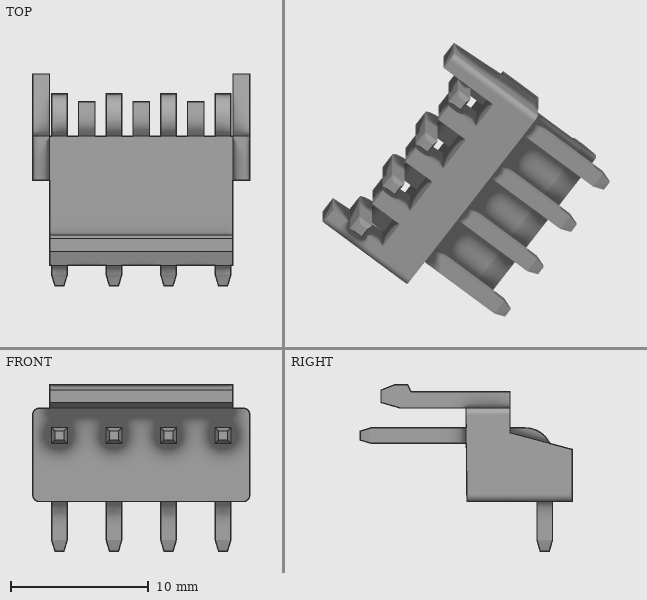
import cadquery as cq
import math


body_width = 15.78
body_height = 6.8
body_depth = 7.73
block_depth = 3.22
edge_radius = 0.5
front_draft = 0.6
slope_front_height = 5.0
slope_rear_height = 3.8
rib_width = 1.22
rib_rear = 5.71

latch_width = 13.3
latch_thickness = 1.2
latch_reach = 6.17
latch_underside_reach = 4.78
nose_bottom_rise = 0.4
nose_top_rise = 1.3
hook_rise = 1.7
hook_front_reach = 5.18
hook_rear_reach = 4.22
hook_foot_reach = 3.98

pin_count = 4
pin_pitch = 3.96
pin_size = 1.14
pin_tip_size = 0.66
pin_taper = 0.8
pin_axis_height = 4.8
pin_axis_rear = 5.73
pin_front_reach = 7.67
pin_drop = 3.6
bend_radius = 2.0

inner_half = latch_width / 2
pin_half = pin_size / 2
pin_first_x = -pin_pitch * (pin_count - 1) / 2
latch_top = body_height + latch_thickness
draft_setback = body_height * math.tan(math.radians(front_draft))


def extrude_across(profile, width):
    """Extrude a closed YZ profile symmetrically along X."""
    return profile.extrude(width / 2, both=True)


def make_block_with_walls():
    """Block and side walls, before the space behind the block is opened."""
    side = (
        cq.Workplane("YZ")
        .moveTo(draft_setback, 0)
        .lineTo(body_depth, 0)
        .lineTo(body_depth, slope_rear_height)
        .lineTo(block_depth, slope_front_height)
        .lineTo(block_depth, body_height)
        .lineTo(0, body_height)
        .close()
    )
    housing = extrude_across(side, body_width)
    rounded_outline = (
        cq.Workplane("XY")
        .box(body_width, body_depth, body_height, centered=(True, False, False))
        .edges("|Y")
        .fillet(edge_radius)
    )
    return housing.intersect(rounded_outline)


def make_rear_opening(left, right, rear_start):
    """Full-height space behind the block, from left to right in X."""
    return (
        cq.Workplane("XY")
        .box(right - left, body_depth - rear_start, body_height, centered=False)
        .translate((left, rear_start, 0))
    )


def make_housing():
    """Block with side walls and one rib midway between neighbouring pins."""
    housing = make_block_with_walls()
    behind_ribs = make_rear_opening(-inner_half, inner_half, rib_rear)
    housing = housing.cut(behind_ribs)
    rib_centres = [pin_first_x + (i + 0.5) * pin_pitch for i in range(pin_count - 1)]
    lefts = [-inner_half] + [x + rib_width / 2 for x in rib_centres]
    rights = [x - rib_width / 2 for x in rib_centres] + [inner_half]
    for left, right in zip(lefts, rights):
        housing = housing.cut(make_rear_opening(left, right, block_depth))
    return housing


def make_latch():
    """Plate on top of the block, with a raised hook and a tapered nose."""
    side = (
        cq.Workplane("YZ")
        .moveTo(block_depth, body_height)
        .lineTo(block_depth, latch_top)
        .lineTo(-hook_foot_reach, latch_top)
        .lineTo(-hook_rear_reach, body_height + hook_rise)
        .lineTo(-hook_front_reach, body_height + hook_rise)
        .lineTo(-latch_reach, body_height + nose_top_rise)
        .lineTo(-latch_reach, body_height + nose_bottom_rise)
        .lineTo(-latch_underside_reach, body_height)
        .close()
    )
    return extrude_across(side, latch_width)


def make_tip(plane):
    """Tapered pin tip that grows along the normal of the given plane."""
    return (
        cq.Workplane(plane)
        .rect(pin_size, pin_size)
        .workplane(offset=pin_taper)
        .rect(pin_tip_size, pin_tip_size)
        .loft(ruled=True)
    )


def make_pin():
    """One square pin: horizontal leg, quarter bend and vertical leg, at X = 0."""
    front_shoulder = -pin_front_reach + pin_taper
    lower_shoulder = -pin_drop + pin_taper
    top = pin_axis_height + pin_half
    bottom = pin_axis_height - pin_half
    rear = pin_axis_rear + pin_half
    front = pin_axis_rear - pin_half
    bend_y = rear - bend_radius
    bend_z = top - bend_radius
    inner_radius = bend_radius - pin_size
    outer_mid = bend_radius * math.sqrt(0.5)
    inner_mid = inner_radius * math.sqrt(0.5)
    side = (
        cq.Workplane("YZ")
        .moveTo(front_shoulder, top)
        .lineTo(bend_y, top)
        .threePointArc((bend_y + outer_mid, bend_z + outer_mid), (rear, bend_z))
        .lineTo(rear, lower_shoulder)
        .lineTo(front, lower_shoulder)
        .lineTo(front, bend_z)
        .threePointArc((bend_y + inner_mid, bend_z + inner_mid), (bend_y, bottom))
        .lineTo(front_shoulder, bottom)
        .close()
    )
    bar = extrude_across(side, pin_size)
    front_tip = make_tip(cq.Plane((0, front_shoulder, pin_axis_height), (1, 0, 0), (0, -1, 0)))
    lower_tip = make_tip(cq.Plane((0, pin_axis_rear, lower_shoulder), (1, 0, 0), (0, 0, -1)))
    return bar.union(front_tip).union(lower_tip)


result = make_housing().union(make_latch())
pin = make_pin()
for index in range(pin_count):
    result = result.union(pin.translate((pin_first_x + index * pin_pitch, 0, 0)))